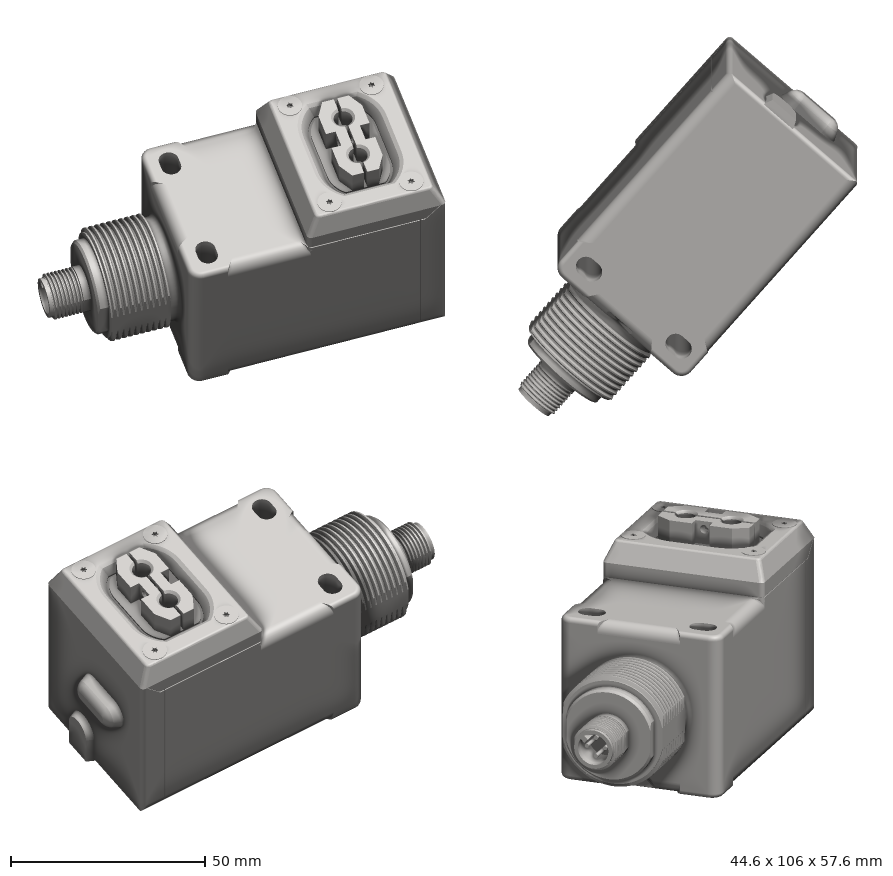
import cadquery as cq
import math

WIDTH = 44.57
BODY_HEIGHT = 44.57
BODY_LENGTH = 69.1
OVERALL_LENGTH = 106.03
HALF_WIDTH = WIDTH / 2
FRONT_CORNER_RADIUS = 3.25
EDGE_RADIUS = 1.3

RELIEF_RADIUS = 3.2
RELIEF_TAPER = 2.3
FRONT_RELIEF_HALF_LENGTH = 11.4
SIDE_RELIEF_START = 9.9
SIDE_RELIEF_OVERLAP = 0.8

SLOT_SPACING = 30.7
SLOT_LENGTH = 7.3
SLOT_WIDTH = 5.2
SLOT_Y = 6.4

CAP_FRONT = 31.6
CAP_SHOULDER_Z = 48.7
CAP_TOP_Z = 54.1
CAP_SIDE_DRAFT = 2.2
CAP_END_DRAFT = 3.0
CAP_EDGE_RADIUS = 0.8
CAP_CENTER_Y = (CAP_FRONT + BODY_LENGTH) / 2

JOINT_WIDTH = 0.3
JOINT_DEPTH = 0.25
JOINT_Y = 62.1
DIAGONAL_Y = 63.4

SCREW_SPACING_X = 33.2
SCREW_SPACING_Y = 22.1
SCREW_RADIUS = 3.15
SCREW_PROUD = 0.2
DRIVE_RADIUS = 1.0
DRIVE_ROOT_RADIUS = 0.6
DRIVE_DEPTH = 1.0
DRIVE_LOBES = 6

LENS_SPACING = 12.6
DISH_RIM_RADIUS = 11.7
DISH_RIM_HALF_LENGTH = 15.8
DISH_LIP_RADIUS = 10.7
DISH_LIP_HALF_LENGTH = 14.85
DISH_LIP_Z = 53.5
DISH_FLOOR_RADIUS = 9.0
DISH_FLOOR_HALF_LENGTH = 13.4
DISH_FLOOR_Z = 51.3
GUTTER_INNER_RADIUS = 8.3
GUTTER_DEPTH = 0.5
HEAD_TOP_Z = 57.56
HEAD_HALF_LENGTH = 12.65
HEAD_HALF_WIDTH = 5.9
HEAD_CORNER_X = 8.6
HEAD_CORNER_Y = 3.6
HEAD_GAP = 0.9
HEAD_NOTCH_HALF_WIDTH = 2.4
HEAD_NOTCH_FLOOR = 3.3
LENS_RADIUS = 2.45
LENS_MOUTH_RADIUS = 3.1
CROSS_HOLE_RADIUS = 1.15
CROSS_HOLE_Z = 55.35

LAMP_LEFT_X = -9.25
LAMP_RIGHT_X = 0.0
LAMP_Z = 28.3
LAMP_BASE_RADIUS = 4.45
LAMP_KNEE_RADIUS = 3.4
LAMP_KNEE_HEIGHT = 2.5
LAMP_CROWN_RADIUS = 2.6
LAMP_CROWN_HEIGHT = 3.55
LAMP_TIP_RADIUS = 1.3
LAMP_HEIGHT = 4.26

COVER_X = 5.05
COVER_Z = 8.5
COVER_BOTTOM_Z = 0.3
COVER_BASE_RADIUS = 4.9
COVER_HEIGHT = 1.9
COVER_DRAFT = 25

AXIS_Z = BODY_HEIGHT / 2
NECK_RADIUS = 13.8
NECK_FILLET = 1.0
BARREL_THREAD_START = -2.7
BARREL_END = -18.9
BARREL_RADIUS = 15.1
BARREL_ROOT_RADIUS = 14.1
BARREL_PITCHES = 10
BARREL_HALF_FLATS = 13.8
COLLAR_END = -21.75
COLLAR_RADIUS = 12.5
COLLAR_CHAMFER = 0.6
COLLAR_HALF_FLATS = 11.55
PLUG_THREAD_START = -23.7
PLUG_THREAD_END = -31.7
PLUG_END = BODY_LENGTH + LAMP_HEIGHT - OVERALL_LENGTH
PLUG_RADIUS = 6.1
PLUG_ROOT_RADIUS = 5.4
PLUG_TIP_RADIUS = 5.25
PLUG_PITCHES = 8
PLUG_HALF_FLATS = 5.65
BORE_RADIUS = 4.2
BORE_DEPTH = 8.0
KEY_SIZE = 1.4
KEY_ANGLE = 135
PIN_RADIUS = 0.55
PIN_CIRCLE_RADIUS = 2.5
PIN_COUNT = 4
PIN_LENGTH = 6.0

POINT_MOUTH_APEX_Z = 6.7
POINT_FLOOR_APEX_Z = 4.1
POINT_DEPTH = 1.5
POINT_BEVEL_WIDTH = 0.8
POINT_BEVEL_DEPTH = 0.25


def box(x_range, y_range, z_range):
    sizes = [high - low for low, high in (x_range, y_range, z_range)]
    return cq.Workplane("XY").box(*sizes, centered=False).translate(
        (x_range[0], y_range[0], z_range[0])
    )


def edge_relief(half_length):
    """Cutter that enlarges the rounding of an edge lying on the X axis.

    The material is at +Y and -Z of the edge; the ends close in towards the upper face.
    """
    r = RELIEF_RADIUS
    bar = (
        cq.Workplane("YZ")
        .moveTo(0, -r)
        .radiusArc((r, 0), r)
        .lineTo(0, 0)
        .close()
        .extrude(half_length, both=True)
    )
    ends = (
        cq.Workplane("XY")
        .polyline([
            (-half_length, 0),
            (half_length, 0),
            (half_length - RELIEF_TAPER, r),
            (RELIEF_TAPER - half_length, r),
        ])
        .close()
        .extrude(r, both=True)
    )
    return bar.intersect(ends)


def side_relief(end_y):
    """Relief for the left upper edge, from the front start position to end_y."""
    half_length = (end_y - SIDE_RELIEF_START) / 2
    return (
        edge_relief(half_length)
        .rotate((0, 0, 0), (0, 0, 1), -90)
        .translate((-HALF_WIDTH, SIDE_RELIEF_START + half_length, BODY_HEIGHT))
    )


def make_block():
    block = box((-HALF_WIDTH, HALF_WIDTH), (0, BODY_LENGTH), (0, BODY_HEIGHT))
    block = block.edges("|Z and <Y").fillet(FRONT_CORNER_RADIUS)
    block = block.edges("|Z and >Y").fillet(EDGE_RADIUS)
    block = block.faces("<Z").edges().fillet(EDGE_RADIUS)
    block = block.faces(">Z").edges("<Y").fillet(EDGE_RADIUS)

    upper_front = edge_relief(FRONT_RELIEF_HALF_LENGTH).translate((0, 0, BODY_HEIGHT))
    middle = (0, 0, AXIS_Z)
    block = block.cut(upper_front).cut(upper_front.mirror("XY", middle))
    upper_side = side_relief(CAP_FRONT + SIDE_RELIEF_OVERLAP)
    lower_side = side_relief(BODY_LENGTH + RELIEF_TAPER).mirror("XY", middle)
    for relief in (upper_side, lower_side):
        block = block.cut(relief).cut(relief.mirror("YZ"))
    return block


def mounting_slots():
    return (
        cq.Workplane("XY")
        .pushPoints([(side * SLOT_SPACING / 2, SLOT_Y) for side in (-1, 1)])
        .slot2D(SLOT_LENGTH, SLOT_WIDTH)
        .extrude(BODY_HEIGHT)
    )


def cap_outline(z, side_inset, end_inset):
    width = WIDTH - 2 * side_inset
    length = BODY_LENGTH - CAP_FRONT - 2 * end_inset
    return cq.Workplane("XY", origin=(0, CAP_CENTER_Y, z)).rect(width, length)


def make_cap():
    base_z = BODY_HEIGHT - EDGE_RADIUS
    base = cap_outline(base_z, 0, 0).extrude(CAP_SHOULDER_Z - base_z)
    base = base.edges("|Z").fillet(EDGE_RADIUS)

    shoulder = cap_outline(CAP_SHOULDER_Z, 0, 0).val()
    top = cap_outline(CAP_TOP_Z, CAP_SIDE_DRAFT, CAP_END_DRAFT).val()
    crown = cq.Workplane(cq.Solid.makeLoft([shoulder, top], True))
    crown = crown.edges("not #Z").fillet(EDGE_RADIUS)
    crown = crown.faces(">Z").edges().fillet(CAP_EDGE_RADIUS)
    return base.union(crown)


def joint_lines():
    """Shallow grooves on both sides and under the front of the cap."""
    half = JOINT_WIDTH / 2
    upright = box((0, JOINT_DEPTH), (JOINT_Y - half, JOINT_Y + half), (0, BODY_HEIGHT))
    level = box(
        (0, JOINT_DEPTH), (CAP_FRONT, DIAGONAL_Y + half), (BODY_HEIGHT, BODY_HEIGHT + JOINT_WIDTH)
    )
    rise = CAP_SHOULDER_Z - BODY_HEIGHT
    diagonal = (
        cq.Workplane("YZ")
        .polyline([
            (DIAGONAL_Y - half, BODY_HEIGHT),
            (DIAGONAL_Y + half, BODY_HEIGHT),
            (DIAGONAL_Y + rise + half, CAP_SHOULDER_Z),
            (DIAGONAL_Y + rise - half, CAP_SHOULDER_Z),
        ])
        .close()
        .extrude(JOINT_DEPTH)
    )
    left = upright.union(level).union(diagonal).translate((-HALF_WIDTH, 0, 0))
    front = box(
        (-HALF_WIDTH, HALF_WIDTH),
        (CAP_FRONT, CAP_FRONT + JOINT_DEPTH),
        (BODY_HEIGHT, BODY_HEIGHT + JOINT_WIDTH),
    )
    return left.union(left.mirror("YZ")).union(front)


def add_screws(part):
    points = []
    for i in range(2 * DRIVE_LOBES):
        radius = DRIVE_ROOT_RADIUS if i % 2 else DRIVE_RADIUS
        angle = math.pi * i / DRIVE_LOBES
        points.append((radius * math.cos(angle), radius * math.sin(angle)))
    head_top = CAP_TOP_Z + SCREW_PROUD
    head = cq.Workplane("XY", origin=(0, 0, DISH_FLOOR_Z)).circle(SCREW_RADIUS).extrude(
        head_top - DISH_FLOOR_Z
    )
    drive = cq.Workplane("XY", origin=(0, 0, head_top)).polyline(points).close().extrude(-DRIVE_DEPTH)
    screw = head.cut(drive)
    for side in (-1, 1):
        for end in (-1, 1):
            x = side * SCREW_SPACING_X / 2
            y = CAP_CENTER_Y + end * SCREW_SPACING_Y / 2
            part = part.cut(drive.translate((x, y, 0))).union(screw.translate((x, y, 0)))
    return part


def dish_outline(z, radius, half_length):
    """Two round ends about the lens centres, trimmed straight at half_length."""
    center_x = LENS_SPACING / 2
    corner_y = math.sqrt(radius**2 - (half_length - center_x) ** 2)
    return (
        cq.Workplane("XY", origin=(0, CAP_CENTER_Y, z))
        .moveTo(-center_x, radius)
        .lineTo(center_x, radius)
        .radiusArc((half_length, corner_y), radius)
        .lineTo(half_length, -corner_y)
        .radiusArc((center_x, -radius), radius)
        .lineTo(-center_x, -radius)
        .radiusArc((-half_length, -corner_y), radius)
        .lineTo(-half_length, corner_y)
        .radiusArc((-center_x, radius), radius)
        .close()
    )


def sloped_wall(lower, upper):
    wires = [dish_outline(*level).val() for level in (lower, upper)]
    return cq.Workplane(cq.Solid.makeLoft(wires, True))


def make_dish():
    rim = (CAP_TOP_Z, DISH_RIM_RADIUS, DISH_RIM_HALF_LENGTH)
    lip = (DISH_LIP_Z, DISH_LIP_RADIUS, DISH_LIP_HALF_LENGTH)
    floor = (DISH_FLOOR_Z, DISH_FLOOR_RADIUS, DISH_FLOOR_HALF_LENGTH)
    pedestal = (DISH_FLOOR_Z, GUTTER_INNER_RADIUS, HEAD_HALF_LENGTH)
    gutter = dish_outline(*floor).extrude(-GUTTER_DEPTH).cut(
        dish_outline(*pedestal).extrude(-GUTTER_DEPTH)
    )
    return sloped_wall(floor, lip).union(sloped_wall(lip, rim)).union(gutter)


def make_head():
    height = HEAD_TOP_Z - DISH_FLOOR_Z
    half = (
        cq.Workplane("XY")
        .polyline([
            (-HEAD_HALF_LENGTH, HEAD_GAP / 2),
            (HEAD_HALF_LENGTH, HEAD_GAP / 2),
            (HEAD_HALF_LENGTH, HEAD_CORNER_Y),
            (HEAD_CORNER_X, HEAD_HALF_WIDTH),
            (HEAD_NOTCH_HALF_WIDTH, HEAD_HALF_WIDTH),
            (HEAD_NOTCH_HALF_WIDTH, HEAD_NOTCH_FLOOR),
            (-HEAD_NOTCH_HALF_WIDTH, HEAD_NOTCH_FLOOR),
            (-HEAD_NOTCH_HALF_WIDTH, HEAD_HALF_WIDTH),
            (-HEAD_CORNER_X, HEAD_HALF_WIDTH),
            (-HEAD_HALF_LENGTH, HEAD_CORNER_Y),
        ])
        .close()
        .extrude(height)
    )
    head = half.union(half.mirror("XZ"))
    bevel = LENS_MOUTH_RADIUS - LENS_RADIUS
    for side in (-1, 1):
        bore = (
            cq.Workplane("XZ")
            .polyline([
                (0, 0),
                (LENS_RADIUS, 0),
                (LENS_RADIUS, height - bevel),
                (LENS_MOUTH_RADIUS, height),
                (0, height),
            ])
            .close()
            .revolve(360, (0, 0), (0, 1))
        )
        head = head.cut(bore.translate((side * LENS_SPACING / 2, 0, 0)))
    cross_hole = (
        cq.Workplane("XZ", origin=(0, 0, CROSS_HOLE_Z - DISH_FLOOR_Z))
        .circle(CROSS_HOLE_RADIUS)
        .extrude(HEAD_HALF_WIDTH, both=True)
    )
    return head.cut(cross_hole).translate((0, CAP_CENTER_Y, DISH_FLOOR_Z))


def make_lamp():
    base = (LAMP_BASE_RADIUS, 0)
    knee = (LAMP_KNEE_RADIUS, LAMP_KNEE_HEIGHT)
    crown = (LAMP_CROWN_RADIUS, LAMP_CROWN_HEIGHT)
    tip = (LAMP_TIP_RADIUS, LAMP_HEIGHT)
    round_half, straight_half = [
        cq.Workplane(plane)
        .lineTo(*base)
        .lineTo(*knee)
        .threePointArc(crown, tip)
        .lineTo(0, LAMP_HEIGHT)
        .close()
        for plane in ("XY", "ZY")
    ]
    dome = round_half.revolve(360, (0, 0), (0, 1))
    spacing = LAMP_RIGHT_X - LAMP_LEFT_X
    upper_half = straight_half.extrude(spacing)
    lamp = upper_half.union(upper_half.mirror("XY"))
    lamp = lamp.union(dome).union(dome.translate((-spacing, 0, 0)))
    return lamp.translate((LAMP_RIGHT_X, BODY_LENGTH, LAMP_Z))


def make_plug_cover():
    r = COVER_BASE_RADIUS
    depth = COVER_Z - COVER_BOTTOM_Z
    root = EDGE_RADIUS
    outline = (
        cq.Sketch()
        .segment((-r, -depth - r), (r, -depth - r))
        .segment((r, 0))
        .arc((r, 0), (0, r), (-r, 0))
        .segment((-r, 0), (-r, -depth - r))
        .assemble()
    )
    plate = cq.Workplane("XZ").placeSketch(outline)
    raised = plate.extrude(-COVER_HEIGHT, taper=COVER_DRAFT)
    base = plate.extrude(root)
    keep = box((-r, r), (-root, COVER_HEIGHT), (-depth, r))
    return raised.union(base).intersect(keep).translate((COVER_X, BODY_LENGTH, COVER_Z))


def thread_points(start, end, pitches, crest, root):
    """Trapezoidal rings from start to end along the axis, a quarter pitch on each face."""
    pitch = (end - start) / pitches
    quarter = pitch / 4
    points = []
    for i in range(pitches):
        ring = start + i * pitch
        points += [
            (root, ring),
            (crest, ring + quarter),
            (crest, ring + 2 * quarter),
            (root, ring + 3 * quarter),
        ]
    points.append((root, end))
    return points


def turned(points):
    """Solid of revolution about the connector axis from (radius, y) points."""
    closed = [(0, points[0][1])] + points + [(0, points[-1][1])]
    return (
        cq.Workplane("XY")
        .polyline(closed)
        .close()
        .revolve(360, (0, 0), (0, 1))
        .translate((0, 0, AXIS_Z))
    )


def between_flats(solid, half_flats):
    return solid.intersect(
        box((-half_flats, half_flats), (PLUG_END, BODY_LENGTH), (0, BODY_HEIGHT))
    )


def make_barrel():
    shaft = turned([(NECK_RADIUS, 0), (NECK_RADIUS, BARREL_THREAD_START)])
    foot_radius = NECK_RADIUS + NECK_FILLET
    flare = (
        cq.Workplane("XY")
        .lineTo(foot_radius, 0)
        .radiusArc((NECK_RADIUS, -NECK_FILLET), -NECK_FILLET)
        .lineTo(0, -NECK_FILLET)
        .close()
        .revolve(360, (0, 0), (0, 1))
        .translate((0, 0, AXIS_Z))
    )
    threads = thread_points(
        BARREL_THREAD_START, BARREL_END, BARREL_PITCHES, BARREL_RADIUS, BARREL_ROOT_RADIUS
    )
    thread = between_flats(turned(threads), BARREL_HALF_FLATS)
    collar = turned([
        (COLLAR_RADIUS, BARREL_END),
        (COLLAR_RADIUS, COLLAR_END + COLLAR_CHAMFER),
        (COLLAR_RADIUS - COLLAR_CHAMFER, COLLAR_END),
    ])
    return shaft.union(flare).union(thread).union(between_flats(collar, COLLAR_HALF_FLATS))


def make_plug():
    threads = thread_points(
        PLUG_THREAD_START, PLUG_THREAD_END, PLUG_PITCHES, PLUG_RADIUS, PLUG_ROOT_RADIUS
    )
    outline = [(PLUG_RADIUS, COLLAR_END), (PLUG_RADIUS, PLUG_THREAD_START)]
    outline += threads
    outline += [(PLUG_TIP_RADIUS, PLUG_THREAD_END), (PLUG_TIP_RADIUS, PLUG_END)]
    plug = between_flats(turned(outline), PLUG_HALF_FLATS)

    bore_floor = PLUG_END + BORE_DEPTH
    bore = turned([(BORE_RADIUS, PLUG_END), (BORE_RADIUS, bore_floor)])
    half_key = KEY_SIZE / 2
    key = (
        box(
            (BORE_RADIUS - KEY_SIZE, BORE_RADIUS), (PLUG_END, bore_floor), (-half_key, half_key)
        )
        .rotate((0, 0, 0), (0, 1, 0), -KEY_ANGLE)
        .translate((0, 0, AXIS_Z))
    )
    pins = (
        cq.Workplane("XZ", origin=(0, bore_floor, AXIS_Z))
        .polarArray(PIN_CIRCLE_RADIUS, 0, 360, PIN_COUNT)
        .circle(PIN_RADIUS)
        .extrude(PIN_LENGTH)
    )
    return plug.cut(bore.cut(key)).union(pins)


def pointed_recess():
    """Right-angled triangular recess with bevelled walls, open at the underside."""
    levels = [
        (0, POINT_MOUTH_APEX_Z),
        (POINT_BEVEL_DEPTH, POINT_MOUTH_APEX_Z - POINT_BEVEL_WIDTH),
        (POINT_DEPTH - POINT_BEVEL_DEPTH, POINT_FLOOR_APEX_Z + POINT_BEVEL_WIDTH),
        (POINT_DEPTH, POINT_FLOOR_APEX_Z),
    ]
    below = EDGE_RADIUS
    outlines = []
    for y, apex in levels:
        triangle = cq.Workplane("XZ", origin=(0, y, 0)).polyline([
            (-apex - below, -below),
            (0, apex),
            (apex + below, -below),
        ])
        outlines.append(triangle.close().val())
    return cq.Workplane(cq.Solid.makeLoft(outlines, True))


housing = make_block().union(make_cap())
housing = housing.cut(mounting_slots()).cut(joint_lines()).cut(pointed_recess())
housing = add_screws(housing)
housing = housing.cut(make_dish()).union(make_head())
housing = housing.union(make_lamp()).union(make_plug_cover())
result = housing.union(make_barrel()).union(make_plug())